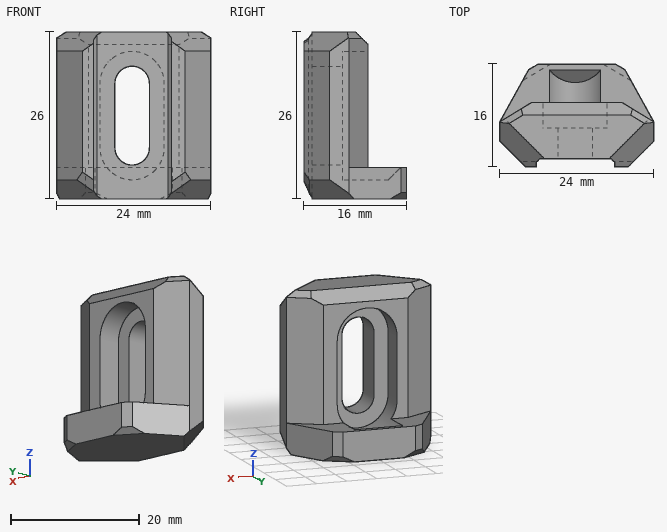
import cadquery as cq
import math

width = 24.0
depth = 16.0
height = 26.0
half_width = width / 2

block_depth = 10.0
shoulder_y = 7.0
block_back_half = 7.05
front_bevel = 4.0
end_bevel = 3.0
small_bevel = 1.0
back_bevel = 2 * small_bevel

lip_height = 4.95
lip_back_half = 7.02

channel_center_x = -0.2
channel_width = 12.2
channel_depth = 1.25
channel_corner = 0.55
slot_center_x = -0.25
slot_width = 5.33
slot_bottom = 5.3
slot_top = 20.65
head_radius = 5.0
head_seat_y = 6.0
head_end_y = 15.08


def edges_near(body, *points):
    """Select the edge of body that lies closest to each point."""
    picked = body.newObject([])
    for point in points:
        picked = picked.add(body.edges(cq.selectors.NearestToPointSelector(point)))
    return picked


def tapered_prism(front_y, back_y, back_half, tall):
    """Vertical prism whose sides turn in from the shoulder to the back."""
    return (
        cq.Workplane("XY")
        .moveTo(-half_width, front_y)
        .lineTo(half_width, front_y)
        .lineTo(half_width, shoulder_y)
        .lineTo(back_half, back_y)
        .lineTo(-back_half, back_y)
        .lineTo(-half_width, shoulder_y)
        .close()
        .extrude(tall)
    )


def bevel_cutter(normal, point):
    """Large block filling the side of a plane that normal points to."""
    size = 3 * height
    plane = cq.Plane(origin=point, normal=normal)
    return cq.Workplane(plane).rect(size, size).extrude(size)


def mirrored_cut(body, normal, point):
    """Bevel body with a plane and with its mirror image about X = 0."""
    cutter = bevel_cutter(normal, point)
    return body.cut(cutter).cut(cutter.mirror("YZ"))


def make_block():
    block = tapered_prism(0, block_depth, block_back_half, height)
    block = block.cut(bevel_cutter((0, 1, 1), (0, block_depth - back_bevel, height)))
    run = half_width - block_back_half
    rise = block_depth - shoulder_y
    slant = math.hypot(run, rise)
    block = mirrored_cut(
        block,
        (-rise / slant, run / slant, 1),
        (-half_width, shoulder_y, height - small_bevel),
    )
    return block


def make_lip():
    lip = tapered_prism(shoulder_y - front_bevel, depth, lip_back_half, lip_height)
    corners = [(side * lip_back_half, depth, lip_height / 2) for side in (-1, 1)]
    lip = edges_near(lip, *corners).chamfer(small_bevel)
    side_angle = math.atan2(depth - shoulder_y, half_width - lip_back_half)
    corner_angle = side_angle / 2
    normal = (-math.sin(corner_angle), math.cos(corner_angle), -1)
    return mirrored_cut(lip, normal, (-lip_back_half + small_bevel, depth, small_bevel))


def bevel_front(body):
    """Bevel the front corners, their ends and the lower front edges."""
    diagonal = math.sqrt(0.5)
    inner_x = -half_width + front_bevel
    body = mirrored_cut(body, (-1, -1, 0), (inner_x, 0, 0))
    for direction, end_z in ((-1, end_bevel), (1, height - end_bevel)):
        normal = (-diagonal, -diagonal, direction)
        body = mirrored_cut(body, normal, (inner_x, 0, end_z))
    normal = (-0.5, -1.5, -diagonal)
    edge_slope = math.atan(diagonal)
    raised_z = end_bevel + small_bevel / math.cos(edge_slope)
    return mirrored_cut(body, normal, (inner_x, 0, raised_z))


def make_channel():
    half = channel_width / 2
    return (
        cq.Workplane("XY")
        .moveTo(channel_center_x - half, 0)
        .lineTo(channel_center_x + half, 0)
        .lineTo(channel_center_x + half, channel_depth - channel_corner)
        .lineTo(channel_center_x + half - channel_corner, channel_depth)
        .lineTo(channel_center_x - half + channel_corner, channel_depth)
        .lineTo(channel_center_x - half, channel_depth - channel_corner)
        .close()
        .extrude(height)
    )


def upright_slot(cut_width, start_y, end_y):
    """Slot running along Y whose end arcs are centered on the through slot's."""
    arc_spacing = slot_top - slot_bottom - slot_width
    center_z = (slot_bottom + slot_top) / 2
    return (
        cq.Workplane("XZ", origin=(slot_center_x, start_y, center_z))
        .slot2D(arc_spacing + cut_width, cut_width, 90)
        .extrude(start_y - end_y)
    )


def make_head_clearance():
    """Wider slot from the back that also troughs the lip, ending in a 45 degree face."""
    clearance = upright_slot(2 * head_radius, head_seat_y, depth)
    return clearance.cut(bevel_cutter((0, 1, -1), (0, head_end_y, lip_height)))


result = (
    bevel_front(make_block().union(make_lip()))
    .cut(make_channel())
    .cut(upright_slot(slot_width, 0, block_depth))
    .cut(make_head_clearance())
)